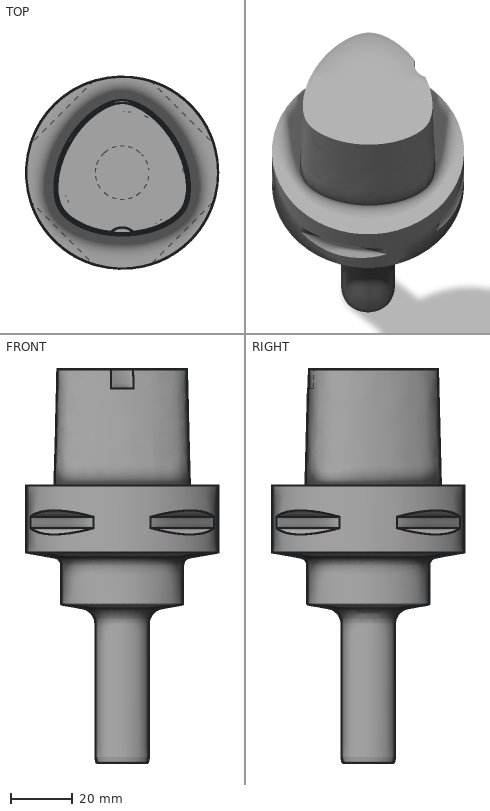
import cadquery as cq
import math

total_height = 129.0
taper_length = 38.0
flange_thickness = 21.9
flange_top = total_height - taper_length
flange_bottom = flange_top - flange_thickness

flange_radius = 63.0 / 2
collar_radius = 40.0 / 2
shank_radius = 17.5 / 2
shoulder_angle = 10.0
collar_bottom = 52.0
flange_fillet = 2.3
shank_fillet = 4.9
collar_edge_fillet = 0.5
tip_chamfer_height = 1.9
tip_chamfer_width = 0.4
tip_fillet = 0.8

taper_base_width = 44.4
taper_ratio = 1 / 20
lobe_offset = 1.61

notch_radius = 5.0
notch_depth = 6.3
notch_inner_y = -17.9

slot_count = 4
slot_first_angle = 45.0
slot_drop = 12.1
slot_floor_height = 3.6
slot_mouth_height = 7.9
slot_floor_distance = 27.9


def shoulder_end(outer_radius, outer_height, inner_radius):
    """Height at which a conical shoulder reaches the inner radius."""
    return outer_height - (outer_radius - inner_radius) * math.tan(math.radians(shoulder_angle))


def corner_edges(body, radius, height):
    """Circular edges of the given radius at the given height."""
    tolerance = 0.01
    return body.edges(
        cq.selectors.BoxSelector(
            (-radius - tolerance, -radius - tolerance, height - tolerance),
            (radius + tolerance, radius + tolerance, height + tolerance),
            boundingbox=True,
        )
    )


def turned_body():
    collar_top = shoulder_end(flange_radius, flange_bottom, collar_radius)
    shank_top = shoulder_end(collar_radius, collar_bottom, shank_radius)
    profile = [
        (0, 0),
        (shank_radius - tip_chamfer_width, 0),
        (shank_radius, tip_chamfer_height),
        (shank_radius, shank_top),
        (collar_radius, collar_bottom),
        (collar_radius, collar_top),
        (flange_radius, flange_bottom),
        (flange_radius, flange_top),
        (0, flange_top),
    ]
    body = cq.Workplane("XZ").polyline(profile).close().revolve(360, (0, 0), (0, 1))
    body = corner_edges(body, collar_radius, collar_top).fillet(flange_fillet)
    body = corner_edges(body, shank_radius, shank_top).fillet(shank_fillet)
    body = corner_edges(body, collar_radius, collar_bottom).fillet(collar_edge_fillet)
    return body.faces("<Z").edges().fillet(tip_fillet)


def lobed_wire(width, height):
    """Closed three-lobed curve of constant width, with one lobe towards +Y."""

    def point(fraction):
        angle = 2 * math.pi * fraction
        along_lobe = (
            width / 2 * math.cos(angle)
            + 2 * lobe_offset * math.cos(2 * angle)
            - lobe_offset * math.cos(4 * angle)
        )
        across_lobe = (
            width / 2 * math.sin(angle)
            - 2 * lobe_offset * math.sin(2 * angle)
            - lobe_offset * math.sin(4 * angle)
        )
        return cq.Vector(-across_lobe, along_lobe, height)

    point_count = 36
    points = [point(i / point_count) for i in range(point_count)]
    return cq.Wire.assembleEdges([cq.Edge.makeSpline(points, periodic=True)])


def lobed_taper():
    top_width = taper_base_width - taper_length * taper_ratio
    base = lobed_wire(taper_base_width, flange_top)
    top = lobed_wire(top_width, total_height)
    return cq.Workplane(cq.Solid.makeLoft([base, top], True))


def marking_notch():
    return (
        cq.Workplane("XY", origin=(0, notch_inner_y - notch_radius, total_height))
        .circle(notch_radius)
        .extrude(-notch_depth)
    )


def gripper_slot(angle):
    """Straight trapezoidal slot, widening outwards, facing the given angle."""
    centre = flange_top - slot_drop
    floor = slot_floor_height / 2
    mouth = slot_mouth_height / 2
    section = [
        (slot_floor_distance, centre - floor),
        (flange_radius, centre - mouth),
        (flange_radius, centre + mouth),
        (slot_floor_distance, centre + floor),
    ]
    slot = cq.Workplane("XZ").polyline(section).close().extrude(flange_radius, both=True)
    return slot.rotate((0, 0, 0), (0, 0, 1), angle)


result = turned_body().union(lobed_taper()).cut(marking_notch())
for index in range(slot_count):
    result = result.cut(gripper_slot(slot_first_angle + index * 360 / slot_count))